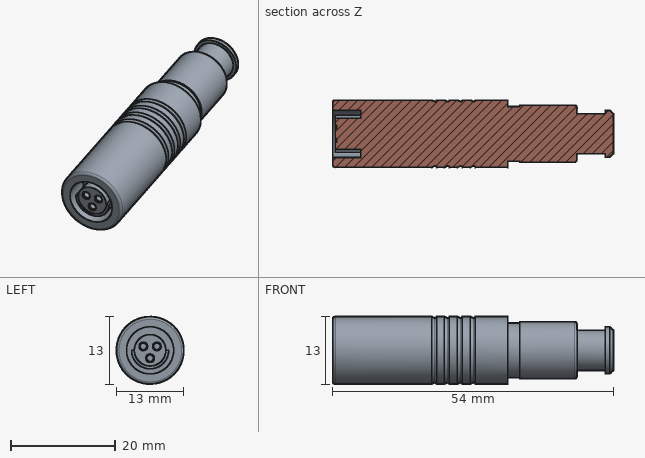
import cadquery as cq
import math

length = 54.0

sleeve_diameter = 13.0
sleeve_radius = sleeve_diameter / 2
sleeve_end = 33.7
mouth_round = 0.5

groove_start = 19.0
groove_pitch = 2.5
groove_count = 4
groove_width = 0.95
groove_ramp_length = 0.55
groove_ramp_drop = 0.245

neck_radius = 5.3
collar_start = 35.95
collar_radius = 5.5
collar_end = 47.0
collar_round = 0.5

tail_radius = 3.9
flange_start = 52.4
flange_radius = 4.55
flange_chamfer = 0.7

socket_radius = 4.55
socket_depth = 5.4

insert_radius = 3.0
insert_face = 0.5
key_radius = 3.55
key_setback = 0.05
key_face = insert_face + key_setback

contact_count = 3
contact_circle_radius = 1.5
contact_bore_radius = 0.65
contact_rim_radius = 0.8
contact_rim_depth = 0.25
contact_bore_depth = 3.25


def cylinder(radius, start, end):
    """Cylinder on the connector axis between two X positions."""
    return cq.Workplane("YZ").workplane(offset=start).circle(radius).extrude(end - start)


def grip_groove(start):
    """Ring to cut from the sleeve: a straight ramp down, then a tangent arc back up."""
    section = (
        cq.Workplane("XY")
        .moveTo(start, sleeve_radius)
        .lineTo(start + groove_ramp_length, sleeve_radius - groove_ramp_drop)
        .tangentArcPoint((start + groove_width, sleeve_radius), relative=False)
        .close()
    )
    return section.revolve(360, (0, 0, 0), (1, 0, 0))


def contact_hole(angle):
    """Bore with a shallow wider rim, placed at an angle around the insert axis."""
    bore = cylinder(contact_bore_radius, insert_face, insert_face + contact_bore_depth)
    rim = cylinder(contact_rim_radius, insert_face, insert_face + contact_rim_depth)
    y = contact_circle_radius * math.cos(angle)
    z = contact_circle_radius * math.sin(angle)
    return bore.union(rim).translate((0, y, z))


sleeve = cylinder(sleeve_radius, 0, sleeve_end).faces("<X").edges().fillet(mouth_round)
for index in range(groove_count):
    sleeve = sleeve.cut(grip_groove(groove_start + index * groove_pitch))
neck = cylinder(neck_radius, sleeve_end, collar_start)
collar = cylinder(collar_radius, collar_start, collar_end).faces(">X").edges().fillet(collar_round)
tail = cylinder(tail_radius, collar_end, flange_start)
flange = cylinder(flange_radius, flange_start, length).faces(">X").edges().chamfer(flange_chamfer)
body = sleeve.union(neck).union(collar).union(tail).union(flange)

body = body.cut(cylinder(socket_radius, 0, socket_depth))
insert = cylinder(insert_radius, insert_face, socket_depth)
lower_half = cq.Workplane("XY").box(length, 2 * key_radius, key_radius, centered=(False, True, False))
lower_half = lower_half.translate((0, 0, -key_radius))
key = cylinder(key_radius, key_face, socket_depth).intersect(lower_half)
body = body.union(insert).union(key)

for index in range(contact_count):
    body = body.cut(contact_hole(math.radians(-90 + index * 360 / contact_count)))

result = body